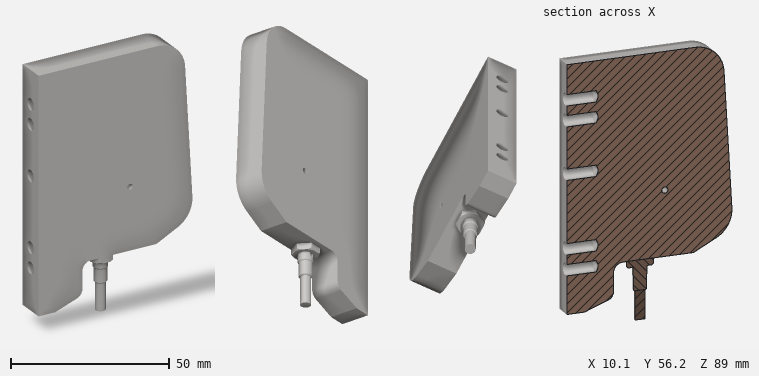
import cadquery as cq
import math

plate_thickness = 10.1
plate_height = 84.0
foot_depth = 16.0
foot_flat = 6.0
foot_slope = 20.0
underside_z = 15.0
underside_end_y = 43.1
rear_slope = 27.0
top_rear_y = 53.0
rear_lean = 3.3
rear_radius = 10.0
inner_radius = 3.0
foot_radius = 3.0

mount_hole_diameter = 4.2
mount_hole_depth = 10.0
drill_point_angle = 118.0
mount_hole_depths_from_top = [12.0, 19.05, 37.0, 62.0, 69.1]
cross_hole_diameter = 2.0
cross_hole_y = 33.4
cross_hole_z = 37.4

fitting_x = 1.0
fitting_y = 24.9
hex_across_flats = 8.0
hex_height = 2.2
hex_chamfer = 0.5
collar_diameter = 5.0
collar_height = 2.6
collar_taper = 0.4
sleeve_diameter = 4.45
sleeve_chamfer = 0.4
sleeve_end_z = 4.8
dimple_diameter = 1.7
dimple_depth = 0.45
dimple_drop = 0.6

cable_diameter = 3.5
cable_end_z = -5.0

hex_bottom_z = underside_z - hex_height
collar_bottom_z = hex_bottom_z - collar_height


def plate_profile():
    """Sharp-cornered side outline in the YZ plane, with its corners rounded."""
    foot_corner_z = (foot_depth - foot_flat) * math.tan(math.radians(foot_slope))
    lean = math.tan(math.radians(rear_lean))
    rise = math.tan(math.radians(rear_slope))
    rear_low_y = ((top_rear_y + lean * (plate_height - underside_z) + lean * rise * underside_end_y)
                  / (1 + lean * rise))
    rear_low_z = underside_z + rise * (rear_low_y - underside_end_y)

    body = (
        cq.Workplane("YZ", origin=(-plate_thickness / 2, 0, 0))
        .moveTo(0, 0)
        .lineTo(foot_flat, 0)
        .lineTo(foot_depth, foot_corner_z)
        .lineTo(foot_depth, underside_z)
        .lineTo(underside_end_y, underside_z)
        .lineTo(rear_low_y, rear_low_z)
        .lineTo(top_rear_y, plate_height)
        .lineTo(0, plate_height)
        .close()
        .extrude(plate_thickness)
    )
    rounded_corners = [
        (foot_depth, foot_corner_z, foot_radius),
        (foot_depth, underside_z, inner_radius),
        (rear_low_y, rear_low_z, rear_radius),
        (top_rear_y, plate_height, rear_radius),
    ]
    for y, z, radius in rounded_corners:
        body = body.edges(cq.selectors.NearestToPointSelector((0, y, z))).fillet(radius)
    return body


def mount_hole(z):
    """Blind drilled hole entering the front edge, with a conical bottom."""
    radius = mount_hole_diameter / 2
    point_length = radius / math.tan(math.radians(drill_point_angle / 2))
    return (
        cq.Workplane("XY")
        .lineTo(radius, 0)
        .lineTo(radius, mount_hole_depth)
        .lineTo(0, mount_hole_depth + point_length)
        .close()
        .revolve(360, (0, 0), (0, 1))
        .translate((0, 0, z))
    )


def make_plate():
    plate = plate_profile()
    for depth in mount_hole_depths_from_top:
        plate = plate.cut(mount_hole(plate_height - depth))
    cross_hole = (
        cq.Workplane("YZ", origin=(-plate_thickness / 2, cross_hole_y, cross_hole_z))
        .circle(cross_hole_diameter / 2)
        .extrude(plate_thickness)
    )
    return plate.cut(cross_hole)


def make_hex():
    """Hexagon with corners along Y, its lower corners cut by a cone."""
    corner_diameter = hex_across_flats / math.cos(math.radians(30))
    hexagon = (
        cq.Workplane("XY", origin=(fitting_x, fitting_y, hex_bottom_z))
        .transformed(rotate=(0, 0, 90))
        .polygon(6, corner_diameter)
        .extrude(hex_height)
    )
    chamfered_envelope = (
        cq.Workplane("XY", origin=(fitting_x, fitting_y, hex_bottom_z))
        .circle(corner_diameter / 2)
        .extrude(hex_height)
        .faces("<Z")
        .chamfer(hex_chamfer)
    )
    return hexagon.intersect(chamfered_envelope)


def make_fitting():
    collar_radius = collar_diameter / 2
    sleeve_radius = sleeve_diameter / 2
    stem = (
        cq.Workplane("XZ")
        .moveTo(0, hex_bottom_z)
        .lineTo(collar_radius, hex_bottom_z)
        .lineTo(collar_radius, collar_bottom_z)
        .lineTo(sleeve_radius, collar_bottom_z - collar_taper)
        .lineTo(sleeve_radius, sleeve_end_z + sleeve_chamfer)
        .lineTo(sleeve_radius - sleeve_chamfer, sleeve_end_z)
        .lineTo(0, sleeve_end_z)
        .close()
        .revolve(360, (0, 0), (0, 1))
        .translate((fitting_x, fitting_y, 0))
    )
    dimple = (
        cq.Workplane("YZ", origin=(fitting_x - collar_radius, fitting_y, hex_bottom_z - dimple_drop))
        .circle(dimple_diameter / 2)
        .extrude(dimple_depth)
    )
    return make_hex().union(stem.cut(dimple))


def make_cable():
    return (
        cq.Workplane("XY", origin=(fitting_x, fitting_y, cable_end_z))
        .circle(cable_diameter / 2)
        .extrude(sleeve_end_z - cable_end_z)
    )


plate = make_plate()
fitting = make_fitting()
cable = make_cable()

result = cq.Compound.makeCompound([plate.val(), fitting.val(), cable.val()])